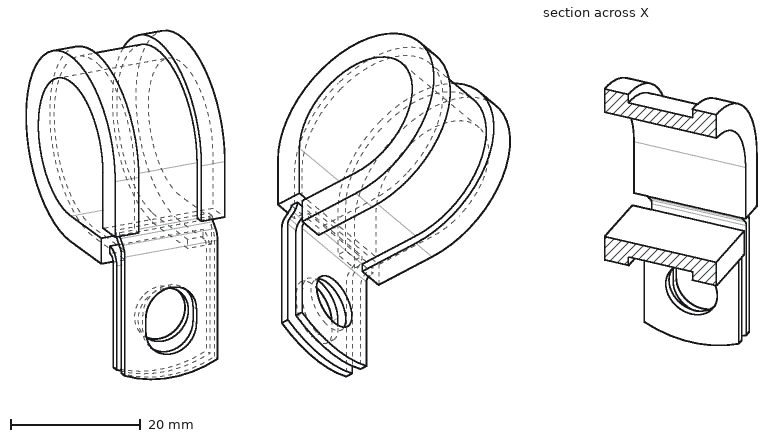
import cadquery as cq
import math

cushion_outer_radius = 15.37
cushion_inner_radius = 11.11
cushion_width = 18.92
side_leg_end_z = -9.25
groove_width = 10.8
groove_depth = 1.5

strap_thickness = 1.2
strap_width = 16.0
strap_outer_radius = cushion_outer_radius - groove_depth
strap_inner_radius = strap_outer_radius - strap_thickness
bend_inner_radius = 1.2
bend_outer_radius = bend_inner_radius + strap_thickness

tab_face_x = 15.76
tab_gap = 1.6
tab_tip_z = -34.05
tab_tip_radius = 19.7
bolt_hole_diameter = 8.72
bolt_hole_z = -24.6
far_slot_travel = 2.3

near_tab_outer_x = tab_face_x - strap_thickness - tab_gap
bottom_leg_end_x = near_tab_outer_x - bend_outer_radius


def polar(center, radius, angle_deg):
    """Point in the XZ plane at a radius and angle from a center."""
    angle = math.radians(angle_deg)
    return (center[0] + radius * math.cos(angle), center[1] + radius * math.sin(angle))


def extrude_centered(outline, width):
    """Extrude an XZ outline along Y, centered on the XZ plane."""
    return outline.extrude(width / 2, both=True)


def loop(outer_radius, inner_radius, width):
    """Three-quarter ring with a leg down on the +X side and a leg toward +X at the bottom."""
    origin = (0, 0)
    outline = (
        cq.Workplane("XZ")
        .moveTo(outer_radius, side_leg_end_z)
        .lineTo(outer_radius, 0)
        .threePointArc(polar(origin, outer_radius, 135), (0, -outer_radius))
        .lineTo(bottom_leg_end_x, -outer_radius)
        .lineTo(bottom_leg_end_x, -inner_radius)
        .lineTo(0, -inner_radius)
        .threePointArc(polar(origin, inner_radius, 135), (inner_radius, 0))
        .lineTo(inner_radius, side_leg_end_z)
        .close()
    )
    return extrude_centered(outline, width)


def cushion():
    """Cushion with a raised flange along each side of the groove."""
    flange_width = (cushion_width - groove_width) / 2
    flange_offset = (cushion_width - flange_width) / 2
    flange = loop(cushion_outer_radius, cushion_inner_radius, flange_width)
    web = loop(strap_outer_radius, cushion_inner_radius, cushion_width)
    return web.union(flange.translate((0, flange_offset, 0))).union(flange.translate((0, -flange_offset, 0)))


def near_tab():
    """Tab that turns down 90 degrees from the end of the bottom leg."""
    bend = (bottom_leg_end_x, -strap_inner_radius - bend_outer_radius)
    outline = (
        cq.Workplane("XZ")
        .moveTo(*polar(bend, bend_outer_radius, 90))
        .threePointArc(polar(bend, bend_outer_radius, 45), polar(bend, bend_outer_radius, 0))
        .lineTo(near_tab_outer_x, tab_tip_z)
        .lineTo(near_tab_outer_x - strap_thickness, tab_tip_z)
        .lineTo(*polar(bend, bend_inner_radius, 0))
        .threePointArc(polar(bend, bend_inner_radius, 45), polar(bend, bend_inner_radius, 90))
        .close()
    )
    return extrude_centered(outline, strap_width)


def far_tab():
    """Tab that jogs outward at 45 degrees below the side leg, then runs straight down."""
    upper_bend = (strap_outer_radius + bend_inner_radius, side_leg_end_z)
    lower_bend_x = tab_face_x - bend_outer_radius
    run_offset = (bend_inner_radius + bend_outer_radius) * math.sqrt(2)
    lower_bend = (lower_bend_x, sum(upper_bend) - run_offset - lower_bend_x)
    outline = (
        cq.Workplane("XZ")
        .moveTo(*polar(upper_bend, bend_inner_radius, 180))
        .threePointArc(polar(upper_bend, bend_inner_radius, 202.5), polar(upper_bend, bend_inner_radius, 225))
        .lineTo(*polar(lower_bend, bend_outer_radius, 45))
        .threePointArc(polar(lower_bend, bend_outer_radius, 22.5), polar(lower_bend, bend_outer_radius, 0))
        .lineTo(tab_face_x, tab_tip_z)
        .lineTo(tab_face_x - strap_thickness, tab_tip_z)
        .lineTo(*polar(lower_bend, bend_inner_radius, 0))
        .threePointArc(polar(lower_bend, bend_inner_radius, 22.5), polar(lower_bend, bend_inner_radius, 45))
        .lineTo(*polar(upper_bend, bend_outer_radius, 225))
        .threePointArc(polar(upper_bend, bend_outer_radius, 202.5), polar(upper_bend, bend_outer_radius, 180))
        .close()
    )
    return extrude_centered(outline, strap_width)


def tab_profile():
    """Block with the face-on shape of the tabs: straight sides and an arched tip."""
    half_width = strap_width / 2
    corner_z = tab_tip_z + tab_tip_radius - math.sqrt(tab_tip_radius**2 - half_width**2)
    return (
        cq.Workplane("YZ")
        .moveTo(-half_width, 0)
        .lineTo(-half_width, corner_z)
        .threePointArc((0, tab_tip_z), (half_width, corner_z))
        .lineTo(half_width, 0)
        .close()
        .extrude(tab_face_x)
    )


def bolt_hole():
    """Round cutter along X at the bolt position."""
    return cq.Workplane("YZ").center(0, bolt_hole_z).circle(bolt_hole_diameter / 2).extrude(tab_face_x)


def bolt_slot():
    """Cutter along X, stretched along Z so the bolt can shift."""
    slot_length = bolt_hole_diameter + far_slot_travel
    return (
        cq.Workplane("YZ")
        .center(0, bolt_hole_z)
        .slot2D(slot_length, bolt_hole_diameter, 90)
        .extrude(tab_face_x)
    )


drilled_near_tab = near_tab().intersect(tab_profile()).cut(bolt_hole())
slotted_far_tab = far_tab().intersect(tab_profile()).cut(bolt_slot())
strap_loop = loop(strap_outer_radius, strap_inner_radius, strap_width)
result = cushion().union(strap_loop).union(drilled_near_tab).union(slotted_far_tab)